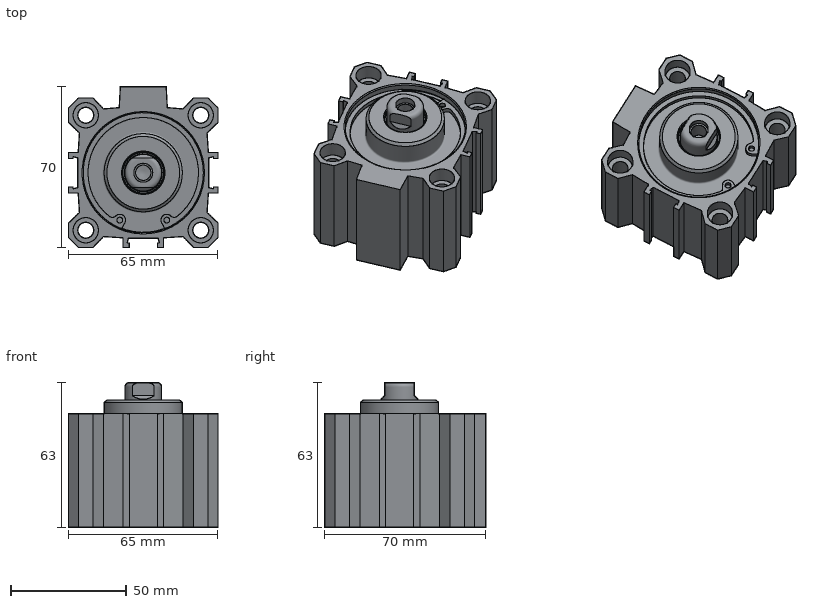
import cadquery as cq
import math


housing_height = 49.5
head_top = 55.45
rod_top = 63.0
recess_floor = 35.0
ring_top = 46.35
ring_thickness = 2.0
ring_bottom = ring_top - ring_thickness

housing_width = 65.0
housing_half = housing_width / 2
overall_depth = 70.0
lug_corner = 28.15
lug_inner = 21.85
web_end = 17.3
wall_at_lug = 27.8
wall_at_rail = 28.35
port_reach = overall_depth - housing_half
port_half_tip = 10.0
port_half_root = 10.5

rail_outer = 8.8
rail_lip = 6.1
rail_notch = 6.9
rail_lip_inner = 30.45
slot_floor = 28.55
slot_floor_half = 6.45

lug_hole_offset = 25.0
lug_hole_diameter = 6.8
lug_bore_diameter = 11.0
lug_bore_depth = 7.0

bore_diameter = 52.2
bore_chamfer = 0.5
groove_diameter = 55.2
flange_diameter = 51.8
collar_diameter = 34.0
collar_chamfer_width = 1.2
collar_chamfer_height = 1.05
collar_fillet = 0.7
head_hole_diameter = 16.5
mouth_diameter = 18.0
mouth_depth = 1.0
seat_diameter = 17.7
seat_depth = 2.0
mouth_chamfer = 0.4

ring_inner_diameter = 48.0
eye_x = 10.2
eye_y = -20.6
eye_radius = 2.5
eye_hole_diameter = 2.5
eye_blend_radius = 2.0
ring_end_angle = 29.0

rod_diameter = 16.0
rod_fillet = 1.95
flat_width = 12.9
flat_bottom = 57.3
rod_bore_diameter = 8.25
rod_bore_depth = 3.0
rod_hole_diameter = 6.65
rod_hole_depth = 13.0
drill_cone_angle = 164.0

cut_margin = 0.7


def cylinder(diameter, bottom, top):
    """Upright cylinder on the axis between two heights."""
    return cq.Workplane("XY").workplane(offset=bottom).circle(diameter / 2).extrude(top - bottom)


def half_rail_side():
    """Points from a side's middle to its right-hand lug, with the side facing +Y."""
    return [
        (slot_floor_half, slot_floor),
        (rail_notch, rail_lip_inner),
        (rail_lip, rail_lip_inner),
        (rail_lip, housing_half),
        (rail_outer, housing_half),
        (rail_outer, wall_at_rail),
    ]


def half_port_side():
    """Points of the right half of the port block, with the side facing +Y."""
    return [
        (port_half_tip, port_reach),
        (port_half_root, wall_at_rail),
    ]


def half_lug():
    """Points from the side wall to the lug's corner cut, with the side facing +Y."""
    return [
        (web_end, wall_at_lug),
        (lug_inner, housing_half),
        (lug_corner, housing_half),
    ]


def side_points(half_middle):
    """Whole side facing +Y, from its left-hand lug to its right-hand lug."""
    right_half = half_middle + half_lug()
    left_half = [(-x, y) for x, y in reversed(right_half)]
    return left_half + right_half


def turn_clockwise(points, quarter_turns):
    """Turn points about the axis by a number of clockwise quarter turns."""
    for _ in range(quarter_turns):
        points = [(y, -x) for x, y in points]
    return points


def housing_outline():
    """Port side at +Y, then the three rail sides in clockwise order."""
    outline = side_points(half_port_side())
    for quarter_turns in (1, 2, 3):
        outline += turn_clockwise(side_points(half_rail_side()), quarter_turns)
    return outline


def make_housing():
    body = cq.Workplane("XY").polyline(housing_outline()).close().extrude(housing_height)

    hole_square = 2 * lug_hole_offset
    body = (
        body.faces(">Z").workplane(origin=(0, 0, housing_height))
        .rect(hole_square, hole_square, forConstruction=True).vertices()
        .cboreHole(lug_hole_diameter, lug_bore_diameter, lug_bore_depth)
    )

    recess = cylinder(bore_diameter, recess_floor, housing_height)
    body = body.cut(recess)
    rims = body.faces(">Z").edges("%CIRCLE")
    body = rims.edges(cq.selectors.RadiusNthSelector(-1)).chamfer(bore_chamfer)
    return body.cut(cylinder(groove_diameter, ring_bottom, ring_top))


def make_head():
    collar = (
        cylinder(collar_diameter, ring_bottom, head_top)
        .faces(">Z").chamfer(collar_chamfer_height, collar_chamfer_width)
    )
    head = cylinder(flange_diameter, recess_floor, ring_bottom).union(collar)
    root = cq.selectors.BoxSelector(
        (-collar_diameter, -collar_diameter, ring_bottom - collar_fillet / 2),
        (collar_diameter, collar_diameter, ring_bottom + collar_fillet / 2),
    )
    head = head.edges(root).edges(cq.selectors.RadiusNthSelector(0)).fillet(collar_fillet)

    head = head.cut(cylinder(head_hole_diameter, recess_floor, head_top))
    head = head.cut(cylinder(seat_diameter, head_top - seat_depth, head_top))
    head = head.cut(cylinder(mouth_diameter, head_top - mouth_depth, head_top))
    return head.faces(">Z").edges(cq.selectors.RadiusNthSelector(0)).chamfer(mouth_chamfer)


def make_retaining_ring():
    ring = cylinder(groove_diameter, ring_bottom, ring_top)
    ring = ring.cut(cylinder(ring_inner_diameter, ring_bottom, ring_top))
    plane = cq.Workplane("XY").workplane(offset=ring_bottom)

    slope = math.radians(ring_end_angle)
    tangent_x = eye_x - eye_radius * math.cos(slope)
    tangent_y = eye_y - eye_radius * math.sin(slope)
    flank_drop = groove_diameter / 2 + cut_margin + tangent_y
    flank_end_x = tangent_x + flank_drop * math.tan(slope)
    flank_end_y = tangent_y - flank_drop
    gap = plane.polyline([
        (tangent_x, tangent_y),
        (flank_end_x, flank_end_y),
        (-flank_end_x, flank_end_y),
        (-tangent_x, tangent_y),
    ]).close().extrude(ring_thickness)
    ring = ring.cut(gap)

    web_shift_x = eye_radius * math.sin(slope)
    web_shift_y = eye_radius * math.cos(slope)
    eyes = [(-eye_x, eye_y), (eye_x, eye_y)]
    ring = ring.union(plane.pushPoints(eyes).circle(eye_radius).extrude(ring_thickness))
    for side in (-1, 1):
        web = plane.polyline([
            (side * eye_x, eye_y),
            (side * tangent_x, tangent_y),
            (side * (tangent_x + web_shift_x), tangent_y - web_shift_y),
            (side * (eye_x + web_shift_x), eye_y - web_shift_y),
        ]).close().extrude(ring_thickness)
        ring = ring.union(web)
    for side in (-1, 1):
        ring = ring.edges(eye_corner_selector(side)).fillet(eye_blend_radius)
    holes = plane.pushPoints(eyes).circle(eye_hole_diameter / 2).extrude(ring_thickness)
    return ring.cut(holes)


def eye_corner_selector(side):
    """Upright edge where an eye meets the ring's inner edge, on its outer flank."""
    inner_radius = ring_inner_diameter / 2
    eye_distance = math.hypot(eye_x, eye_y)
    along = (inner_radius ** 2 + eye_distance ** 2 - eye_radius ** 2) / (2 * eye_distance)
    turn = math.acos(along / inner_radius)
    angle = math.atan2(eye_y, eye_x) + turn
    corner = (
        side * inner_radius * math.cos(angle),
        inner_radius * math.sin(angle),
        (ring_bottom + ring_top) / 2,
    )
    return cq.selectors.NearestToPointSelector(corner)


def make_rod():
    rod = cylinder(rod_diameter, recess_floor, rod_top).faces(">Z").edges().fillet(rod_fillet)

    flat_half = flat_width / 2
    tool_reach = rod_diameter / 2 + cut_margin
    run_out = tool_reach - flat_half
    for side in (-1, 1):
        flat = (
            cq.Workplane("YZ").polyline([
                (side * flat_half, rod_top + cut_margin),
                (side * flat_half, flat_bottom),
                (side * tool_reach, flat_bottom - run_out),
                (side * tool_reach, rod_top + cut_margin),
            ]).close().extrude(tool_reach, both=True)
        )
        rod = rod.cut(flat)

    bore_radius = rod_bore_diameter / 2
    hole_radius = rod_hole_diameter / 2
    step = rod_top - rod_bore_depth
    hole_end = rod_top - rod_hole_depth
    cone_height = hole_radius / math.tan(math.radians(drill_cone_angle / 2))
    hole = (
        cq.Workplane("XZ").polyline([
            (0, rod_top),
            (bore_radius, rod_top),
            (bore_radius, step),
            (hole_radius, step),
            (hole_radius, hole_end),
            (0, hole_end - cone_height),
        ]).close().revolve(360, (0, 0), (0, 1))
    )
    return rod.cut(hole)


housing = make_housing()
head = make_head()
retaining_ring = make_retaining_ring()
rod = make_rod()

result = cq.Compound.makeCompound([
    housing.val(),
    head.val(),
    retaining_ring.val(),
    rod.val(),
])